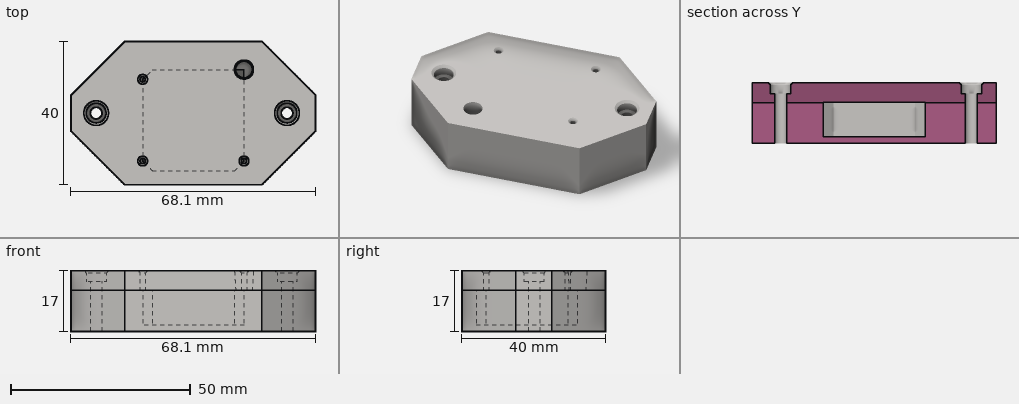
import cadquery as cq

length = 68.1
width = 40.0
corner_cut = 15.0

total_height = 17.0
lid_thickness = 5.5
base_height = total_height - lid_thickness

cavity_side = 28.2
cavity_center_y = -2.0
cavity_corner_cut = 2.7
cavity_floor = 2.0
cavity_half = cavity_side / 2
cavity_back = cavity_center_y + cavity_half
cavity_front = cavity_center_y - cavity_half

screw_spacing = 53.1
screw_center_x = -0.5
screw_diameter = 3.2
head_diameter = 5.5
head_depth = 3.0
head_lip_diameter = 6.9

small_diameter = 1.5
small_lip_diameter = 2.7
small_hole_back = cavity_back - cavity_corner_cut
small_hole_front = cavity_front + cavity_corner_cut

opening_top_diameter = 5.3
opening_bottom_diameter = 4.6

screw_points = [(screw_center_x + side * screw_spacing / 2, 0) for side in (-1, 1)]
small_hole_points = [
    (-cavity_half, small_hole_back),
    (-cavity_half, small_hole_front),
    (cavity_half, small_hole_front),
]


def octagonal_plate(bottom, height):
    """Plate with the outer outline, standing on the given level."""
    plate = cq.Workplane("XY", origin=(0, 0, bottom)).rect(length, width).extrude(height)
    return plate.edges("|Z").chamfer(corner_cut)


def tapered_cutter(point, top_diameter, bottom_diameter, depth):
    """Cone frustum reaching down from the lid's top face."""
    top = cq.Vector(*point, total_height)
    return cq.Solid.makeCone(top_diameter / 2, bottom_diameter / 2, depth, top, cq.Vector(0, 0, -1))


def countersink_cutter(point, lip_diameter, hole_diameter):
    """45 degree countersink from the lip down to the hole."""
    depth = (lip_diameter - hole_diameter) / 2
    return tapered_cutter(point, lip_diameter, hole_diameter, depth)


def make_cavity():
    cavity = cq.Workplane("XY", origin=(0, cavity_center_y, cavity_floor))
    cavity = cavity.rect(cavity_side, cavity_side).extrude(base_height - cavity_floor)
    cut_corners = cavity.edges("|Z and (<X or <Y)")
    return cut_corners.chamfer(cavity_corner_cut)


def make_base():
    base = octagonal_plate(0, base_height).cut(make_cavity())
    return base.faces("<Z").workplane(origin=(0, 0, 0)).pushPoints(screw_points).hole(screw_diameter)


def make_lid():
    lid = octagonal_plate(base_height, lid_thickness)
    top = lid.faces(">Z").workplane(origin=(0, 0, total_height))
    lid = top.pushPoints(screw_points).cboreHole(screw_diameter, head_diameter, head_depth)
    top = lid.faces(">Z").workplane(origin=(0, 0, total_height))
    lid = top.pushPoints(small_hole_points).hole(small_diameter)
    for point in screw_points:
        lid = lid.cut(countersink_cutter(point, head_lip_diameter, head_diameter))
    for point in small_hole_points:
        lid = lid.cut(countersink_cutter(point, small_lip_diameter, small_diameter))
    opening_point = (cavity_half, cavity_back)
    return lid.cut(
        tapered_cutter(opening_point, opening_top_diameter, opening_bottom_diameter, lid_thickness)
    )


base = make_base()
lid = make_lid()
result = cq.Compound.makeCompound([base.val(), lid.val()])